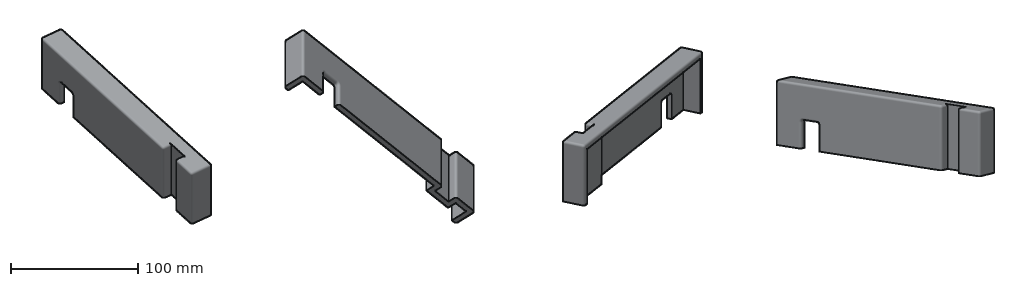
import cadquery as cq

length = 203.2
depth = 20.0
height = 52.0
edge_radius = 2.0

notch_left = 165.0
notch_width = 16.0
notch_depth = 8.0
notch_right = notch_left + notch_width

slot_left = 25.0
slot_width = 17.5
slot_height = 23.0
slot_corner_radius = 2.0
slot_right = slot_left + slot_width

wall = 4.9

overcut = 2.0
tolerance = 0.02


def box(x_start, x_end, y_start, y_end, z_start, z_end):
    """Box spanning the given limits along X, Y and Z."""
    block = cq.Workplane("XY").box(x_end - x_start, y_end - y_start, z_end - z_start, centered=False)
    return block.translate((x_start, y_start, z_start))


def notched_block():
    """Block with the front notch, rounded everywhere except the bottom and the notch floor."""
    notch = box(notch_left, notch_right, -overcut, notch_depth, -overcut, height + overcut)
    block = box(0, length, 0, depth, 0, height).cut(notch)

    bottom_edges = cq.selectors.BoxSelector(
        (-tolerance, -tolerance, -tolerance),
        (length + tolerance, depth + tolerance, tolerance),
    )
    notch_floor_edges = cq.selectors.BoxSelector(
        (notch_left - tolerance, notch_depth - tolerance, -tolerance),
        (notch_right + tolerance, notch_depth + tolerance, height + tolerance),
    )
    sharp_edges = bottom_edges + notch_floor_edges
    return block.edges(-sharp_edges).fillet(edge_radius)


def cavity():
    """Hollow that keeps an even wall behind the front, the ends, the top and the notch."""
    roof = height - wall
    hollow = box(wall, length - wall, wall, depth + overcut, -overcut, roof)
    notch_wall = box(notch_left - wall, notch_right + wall, 0, notch_depth + wall, -overcut, roof)
    return hollow.cut(notch_wall)


def cut_slot(body):
    """Cut the round-cornered slot in the front wall and round its front rim."""
    slot = box(slot_left, slot_right, -overcut, wall + overcut, -overcut, slot_height)
    slot = slot.edges("|Y and >Z").fillet(slot_corner_radius)
    front_rim = cq.selectors.BoxSelector(
        (slot_left - tolerance, -tolerance, tolerance),
        (slot_right + tolerance, tolerance, slot_height + tolerance),
    )
    return body.cut(slot).edges(front_rim).fillet(edge_radius)


result = cut_slot(notched_block().cut(cavity()))